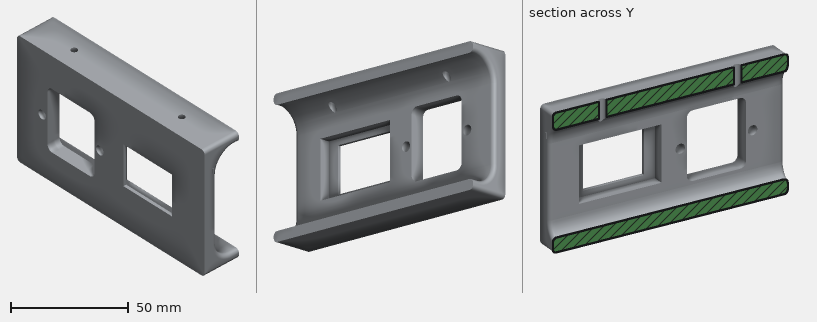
import cadquery as cq
import math

length = 116.8
depth = 20.0
height = 66.0
corner_radius = 2.0

plate_thickness = 7.0
flange_thickness = 4.9
upper_channel_radius = 10.9
lower_channel_radius = 9.0
rim_radius = 2.0

opening_z = -0.8
socket_x = -24.8
socket_width = 29.2
socket_height = 33.2
socket_corner_radius = 2.98
screw_spacing = 35.9
screw_diameter = 4.7
window_x = 22.9
window_width = 30.3
window_height = 21.9
window_lip = 1.6
pocket_width = 41.0
pocket_height = 27.5

flange_hole_spacing = 66.9
flange_hole_diameter = 3.4

nub_projection = 117 - length
nub_width = 0.5
nub_height = 2.8
nub_y = 4.9
nub_z = 20.4


def make_body():
    """Solid block with rounded corners along its depth."""
    block = cq.Workplane("XY").box(length, depth, height).translate((0, depth / 2, 0))
    return block.edges("|Y").fillet(corner_radius)


def make_channel():
    """Channel with two differently rounded inner corners."""
    top = height / 2 - flange_thickness
    bottom = -top
    upper_center_y = plate_thickness + upper_channel_radius
    upper_center_z = top - upper_channel_radius
    lower_center_y = plate_thickness + lower_channel_radius
    lower_center_z = bottom + lower_channel_radius
    back_offset = depth - upper_center_y
    back_z = upper_center_z + math.sqrt(upper_channel_radius**2 - back_offset**2)
    diagonal = math.sqrt(0.5)
    upper_mid = (
        upper_center_y - upper_channel_radius * diagonal,
        upper_center_z + upper_channel_radius * diagonal,
    )
    lower_mid = (
        lower_center_y - lower_channel_radius * diagonal,
        lower_center_z - lower_channel_radius * diagonal,
    )
    return (
        cq.Workplane("YZ", origin=(-length / 2, 0, 0))
        .moveTo(depth, bottom)
        .lineTo(lower_center_y, bottom)
        .threePointArc(lower_mid, (plate_thickness, lower_center_z))
        .lineTo(plate_thickness, upper_center_z)
        .threePointArc(upper_mid, (depth, back_z))
        .close()
        .extrude(length)
    )


def round_channel_ends(body):
    """Round the channel's rim at both ends."""
    inset = flange_thickness / 2
    reach = rim_radius / 2
    back_limit = depth - rim_radius / 10
    for side in (-1, 1):
        rim_zone = cq.selectors.BoxSelector(
            (side * length / 2 - reach, plate_thickness / 2, -height / 2 + inset),
            (side * length / 2 + reach, back_limit, height / 2 - inset),
        )
        body = body.edges(rim_zone).fillet(rim_radius)
    return body


def plate_cut(x, width, tall, start, end):
    """Rectangular cutter through the plate from Y = start to Y = end."""
    cutter = cq.Workplane("XY").box(width, end - start, tall)
    return cutter.translate((x, (start + end) / 2, opening_z))


def make_socket():
    """Rounded opening with a screw hole on each side."""
    opening = plate_cut(socket_x, socket_width, socket_height, 0, depth)
    opening = opening.edges("|Y").fillet(socket_corner_radius)
    screws = (
        cq.Workplane("XZ", origin=(socket_x, 0, opening_z))
        .rarray(screw_spacing, 1.2, 2, 1)
        .circle(screw_diameter / 2)
        .extrude(-depth)
    )
    return opening.union(screws)


def make_window():
    """Rectangular window relieved by a larger pocket behind a thin lip."""
    window = plate_cut(window_x, window_width, window_height, 0, depth)
    pocket = plate_cut(window_x, pocket_width, pocket_height, window_lip, depth)
    return window.union(pocket)


def make_flange_holes():
    """Two holes through the upper flange only."""
    return (
        cq.Workplane("XY", origin=(0, depth / 2, 0))
        .rarray(flange_hole_spacing, 1.2, 2, 1)
        .circle(flange_hole_diameter / 2)
        .extrude(height)
    )


def make_nub():
    """Nub standing on the +X end beside the channel rim, rooted in the body."""
    nub = cq.Workplane("XY").box(2 * nub_projection, nub_width, nub_height)
    return nub.translate((length / 2, nub_y, nub_z))


result = round_channel_ends(make_body().cut(make_channel()))
result = result.cut(make_socket()).cut(make_window()).cut(make_flange_holes())
result = result.union(make_nub())